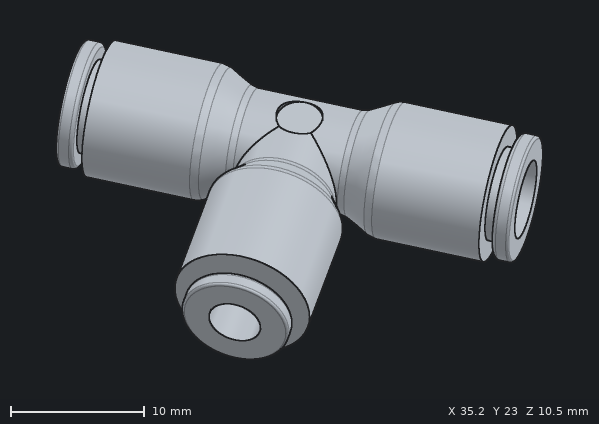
import cadquery as cq

SHELL_RADIUS = 5.25
TUBE_RADIUS = 4.0

RUN_REACH = 17.605
RUN_SHELL_END = 15.45
RUN_SHELL_START = 6.74
RUN_CONE_START = 4.36
RUN_SHELL_BLEND = 1.4
RUN_TUBE_BLEND = 1.15
RUN_NECK_RADIUS = 3.6
RUN_COLLAR_RADIUS = 4.875
RUN_BORE_RADIUS = 3.0

BRANCH_REACH = 17.72
BRANCH_SHELL_END = 15.7
BRANCH_SHELL_START = 6.5
BRANCH_CONE_START = 4.68
BRANCH_BLEND = 0.7
BRANCH_NECK_RADIUS = 2.6
BRANCH_COLLAR_RADIUS = 4.15
BRANCH_BORE_RADIUS = 2.0

COLLAR_WIDTH = 1.3
COLLAR_OUTER_ROUND = 0.2
COLLAR_INNER_ROUND = 0.3

RECESS_RADIUS = 1.75
RECESS_DEPTH = 0.42


def revolve_profile(points):
    """Revolve (distance along X, radius) points about the X axis."""
    return cq.Workplane("XY").polyline(points).close().revolve(360, (0, 0, 0), (1, 0, 0))


def round_rim(body, distance, radius, size):
    """Round the circular edge at the given distance along X and radius."""
    margin = 0.01
    rim = cq.selectors.BoxSelector(
        (distance - margin, -radius - margin, -radius - margin),
        (distance + margin, radius + margin, radius + margin),
        boundingbox=True,
    )
    return body.edges(rim).fillet(size)


def make_shell(cone_start, shell_start, shell_end, tube_blend, shell_blend):
    """Tube from the origin along +X, flaring through a cone to the socket shell."""
    shell = revolve_profile([
        (0, 0),
        (0, TUBE_RADIUS),
        (cone_start, TUBE_RADIUS),
        (shell_start, SHELL_RADIUS),
        (shell_end, SHELL_RADIUS),
        (shell_end, 0),
    ])
    shell = round_rim(shell, cone_start, TUBE_RADIUS, tube_blend)
    return round_rim(shell, shell_start, SHELL_RADIUS, shell_blend)


def make_collar(reach, neck_radius, collar_radius):
    """Release collar on its neck, standing out from the socket mouth."""
    collar_start = reach - COLLAR_WIDTH
    neck = revolve_profile([
        (0, 0),
        (0, neck_radius),
        (collar_start, neck_radius),
        (collar_start, 0),
    ])
    collar = revolve_profile([
        (collar_start, 0),
        (collar_start, collar_radius),
        (reach, collar_radius),
        (reach, 0),
    ])
    collar = round_rim(collar, reach, collar_radius, COLLAR_OUTER_ROUND)
    collar = round_rim(collar, collar_start, collar_radius, COLLAR_INNER_ROUND)
    return neck.union(collar)


def make_run_port():
    shell = make_shell(
        RUN_CONE_START, RUN_SHELL_START, RUN_SHELL_END, RUN_TUBE_BLEND, RUN_SHELL_BLEND
    )
    collar = make_collar(RUN_REACH, RUN_NECK_RADIUS, RUN_COLLAR_RADIUS)
    return shell.union(collar)


def make_branch_port():
    shell = make_shell(
        BRANCH_CONE_START, BRANCH_SHELL_START, BRANCH_SHELL_END, BRANCH_BLEND, BRANCH_BLEND
    )
    collar = make_collar(BRANCH_REACH, BRANCH_NECK_RADIUS, BRANCH_COLLAR_RADIUS)
    return shell.union(collar).rotate((0, 0, 0), (0, 0, 1), -90)


def make_bores():
    """Through bore of the run and the branch bore that meets its axis."""
    run_bore = cq.Workplane("YZ").circle(RUN_BORE_RADIUS).extrude(RUN_REACH, both=True)
    branch_bore = cq.Workplane("XZ").circle(BRANCH_BORE_RADIUS).extrude(BRANCH_REACH)
    return run_bore.union(branch_bore)


def make_recess():
    floor = cq.Workplane("XY").workplane(offset=TUBE_RADIUS - RECESS_DEPTH)
    return floor.circle(RECESS_RADIUS).extrude(TUBE_RADIUS)


right_port = make_run_port()
left_port = right_port.rotate((0, 0, 0), (0, 0, 1), 180)
body = right_port.union(left_port).clean().union(make_branch_port())
result = body.cut(make_bores()).cut(make_recess())